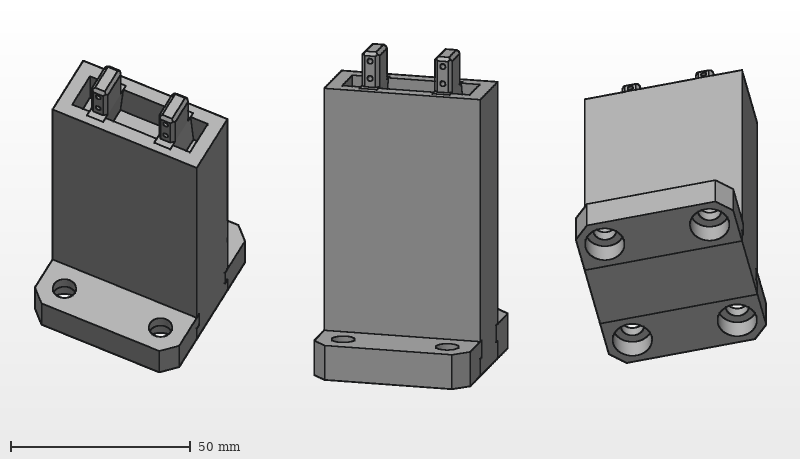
import cadquery as cq

WIDTH = 45.0
HOUSING_DEPTH = 19.0
TOTAL_HEIGHT = 90.0
TAB_HEIGHT = 10.0
HOUSING_HEIGHT = TOTAL_HEIGHT - TAB_HEIGHT
POCKET_LENGTH = 36.7
POCKET_WIDTH = 11.0
POCKET_DEPTH = 10.0
POCKET_FLOOR = HOUSING_HEIGHT - POCKET_DEPTH

BASE_DEPTH = 49.0
FLANGE_DEPTH = (BASE_DEPTH - HOUSING_DEPTH) / 2
FLANGE_HEIGHT = 10.0
CORNER_CHAMFER = 4.1
TONGUE_DEPTH = 1.5
TONGUE_HEIGHT = FLANGE_HEIGHT / 2
MOUNT_HOLE_DIAMETER = 6.5
COUNTERBORE_DIAMETER = 11.0
COUNTERBORE_DEPTH = 6.5
MOUNT_HOLE_SPACING_X = 30.0
MOUNT_HOLE_SPACING_Y = 34.0

TERMINAL_SPACING = 21.0
TERMINAL_THICKNESS = 5.0
BLADE_WIDTH = 14.0
BLADE_LEAN = 0.9
TAB_WIDTH = 10.0
TAB_CHAMFER = 1.0
WIRE_HOLE_DIAMETER = 1.5
WIRE_HOLE_SPACING = TAB_HEIGHT / 2

SIDES = (-1, 1)


def box_on(width, depth, height, bottom):
    """Box centred on the Z axis, standing on the given level."""
    return cq.Workplane("XY", origin=(0, 0, bottom)).box(width, depth, height, centered=(True, True, False))


def make_blade(side):
    """Slanted blade from the pocket floor to the housing top; side is its X direction."""
    half = TERMINAL_THICKNESS / 2
    top_x = side * TERMINAL_SPACING / 2
    foot_x = top_x + side * BLADE_LEAN
    outline = [
        (foot_x - half, POCKET_FLOOR),
        (foot_x + half, POCKET_FLOOR),
        (top_x + half, HOUSING_HEIGHT),
        (top_x - half, HOUSING_HEIGHT),
    ]
    return cq.Workplane("XZ").polyline(outline).close().extrude(BLADE_WIDTH / 2, both=True)


def make_terminal(side):
    """Blade and tab as one solid, with two wire holes through the tab along Y."""
    tab = box_on(TERMINAL_THICKNESS, TAB_WIDTH, TAB_HEIGHT, HOUSING_HEIGHT)
    tab = tab.faces(">Z").chamfer(TAB_CHAMFER).edges("|Z").chamfer(TAB_CHAMFER)
    wire_holes = (
        cq.Workplane("XZ", origin=(0, 0, HOUSING_HEIGHT + TAB_HEIGHT / 2))
        .rarray(0.9, WIRE_HOLE_SPACING, 1, 2)
        .circle(WIRE_HOLE_DIAMETER / 2)
        .extrude(TAB_WIDTH, both=True)
    )
    tab = tab.cut(wire_holes).translate((side * TERMINAL_SPACING / 2, 0, 0))
    return make_blade(side).union(tab)


def make_tongue(side):
    """Bar along X that fills the groove in one long side of the housing."""
    centre_y = side * (HOUSING_DEPTH - TONGUE_DEPTH) / 2
    tongue = box_on(WIDTH, TONGUE_DEPTH, TONGUE_HEIGHT, FLANGE_HEIGHT - TONGUE_HEIGHT)
    return tongue.translate((0, centre_y, 0))


def make_mount_cylinders(side, diameter, height):
    """Two cylinders at the mounting hole places of one flange, rising from the underside."""
    return (
        cq.Workplane("XY", origin=(0, side * MOUNT_HOLE_SPACING_Y / 2, 0))
        .rarray(MOUNT_HOLE_SPACING_X, 0.9, 2, 1)
        .circle(diameter / 2)
        .extrude(height)
    )


def make_flange(side):
    """Flange with chamfered outer corners, two counterbored holes and a tongue; side is its Y direction."""
    outer_face = ">Y" if side > 0 else "<Y"
    centre_y = side * (HOUSING_DEPTH + FLANGE_DEPTH) / 2
    plate = box_on(WIDTH, FLANGE_DEPTH, FLANGE_HEIGHT, 0).translate((0, centre_y, 0))
    plate = plate.faces(outer_face).edges("|Z").chamfer(CORNER_CHAMFER)
    holes = make_mount_cylinders(side, MOUNT_HOLE_DIAMETER, FLANGE_HEIGHT)
    counterbores = make_mount_cylinders(side, COUNTERBORE_DIAMETER, COUNTERBORE_DEPTH)
    return plate.cut(holes).cut(counterbores).union(make_tongue(side))


def make_housing():
    """Block with the top pocket, the slanted blade grooves and the flange grooves."""
    block = box_on(WIDTH, HOUSING_DEPTH, HOUSING_HEIGHT, 0)
    block = block.cut(box_on(POCKET_LENGTH, POCKET_WIDTH, POCKET_DEPTH, POCKET_FLOOR))
    for side in SIDES:
        block = block.cut(make_blade(side)).cut(make_tongue(side))
    return block


housing = make_housing()
flanges = [make_flange(side) for side in SIDES]
terminals = [make_terminal(side) for side in SIDES]

result = cq.Compound.makeCompound(
    [housing.val()] + [body.val() for body in flanges + terminals]
)